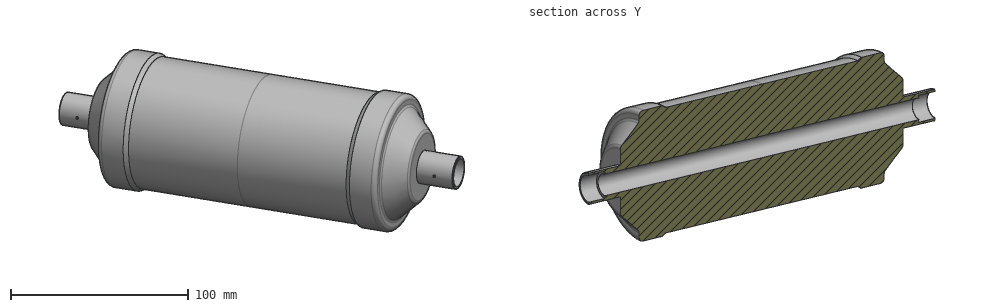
import cadquery as cq

length = 239.0
shell_diameter = 76.0
band_diameter = 79.0
tube_diameter = 19.1

band_start = 66.0
band_step_length = 2.6
band_end = 84.5
band_corner_radius = 2.9
cone_end = 97.5
cone_base_radius = 33.0
cone_tip_radius = 20.5
cone_edge_radius = 2.9
cone_root_radius = 2.2

socket_diameter = 16.0
socket_depth = 11.2
bore_diameter = 13.0
tube_chamfer = 0.5
dimple_diameter = 1.5
dimple_depth = 0.7

half_length = length / 2
band_radius = band_diameter / 2
tube_radius = tube_diameter / 2


def half_body():
    """Solid of revolution about X, from the middle to the +X end."""
    outline = (
        cq.Workplane("XY")
        .lineTo(0, shell_diameter / 2)
        .lineTo(band_start, shell_diameter / 2)
        .lineTo(band_start + band_step_length, band_radius)
        .lineTo(band_end, band_radius)
        .lineTo(band_end, cone_base_radius)
        .lineTo(cone_end, cone_tip_radius)
        .lineTo(cone_end, tube_radius)
        .lineTo(half_length, tube_radius)
        .lineTo(half_length, 0)
        .close()
    )
    body = outline.revolve(360, (0, 0, 0), (1, 0, 0))
    body = body.edges(at_circle(band_end, band_radius)).fillet(band_corner_radius)
    body = body.edges(at_circle(band_end, cone_base_radius)).fillet(cone_root_radius)
    body = body.edges(at_circle(cone_end, cone_tip_radius)).fillet(cone_edge_radius)
    return body.faces(">X").edges().chamfer(tube_chamfer)


def at_circle(x, radius):
    """Selector for the circular edge of the given radius at station x."""
    margin = 0.2
    return cq.selectors.BoxSelector(
        (x - margin, -radius - margin, -radius - margin),
        (x + margin, radius + margin, radius + margin),
        boundingbox=True,
    ) - cq.selectors.BoxSelector(
        (x - margin, -radius + margin, -radius + margin),
        (x + margin, radius - margin, radius - margin),
        boundingbox=True,
    )


def socket():
    """Wider mouth of the bore at the +X end."""
    return (
        cq.Workplane("YZ", origin=(half_length - socket_depth, 0, 0))
        .circle(socket_diameter / 2)
        .extrude(socket_depth)
    )


def dimple():
    """Small blind mark on the -Y side of the tube, at the socket's floor."""
    return (
        cq.Workplane("XZ", origin=(half_length - socket_depth, -tube_radius + dimple_depth, 0))
        .circle(dimple_diameter / 2)
        .extrude(2 * dimple_depth)
    )


half = half_body().cut(socket()).cut(dimple())
body = half.union(half.mirror("YZ"))

bore = (
    cq.Workplane("YZ", origin=(-half_length, 0, 0))
    .circle(bore_diameter / 2)
    .extrude(length)
)
result = body.cut(bore)